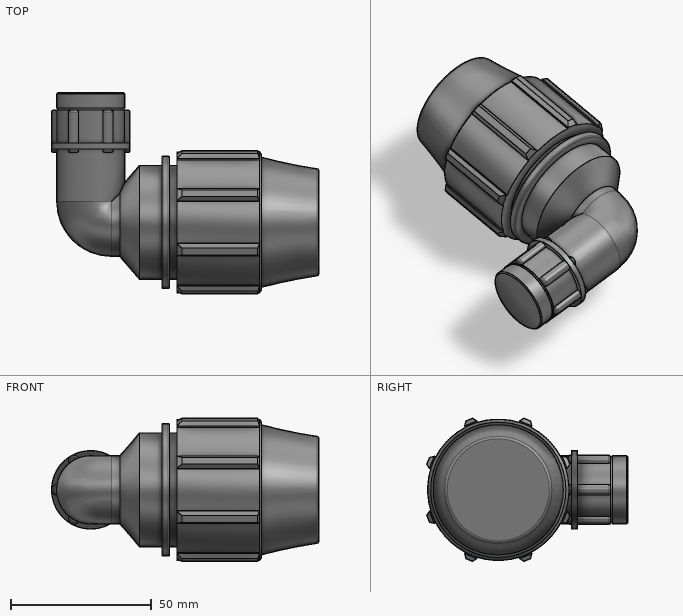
import cadquery as cq
import math


tube_radius = 24.22 / 2
bend_radius = 7.4

cone_start_x = 10.3
cone_end_x = 17.3
body_radius = 40.5 / 2
flange_start_x = 25.2
flange_width = 2.75
flange_radius = 46.98 / 2
flange_edge_fillet = 0.45
nut_start_x = 30.6
nut_shoulder_x = 59.9
nut_shoulder_width = 0.7
nut_radius = 25.08
nut_shoulder_radius = 24.0
end_x = 81.0
tail_start_radius = 23.1
tail_end_radius = 18.9
tail_sag = 0.3
tail_edge_fillet = 0.9

nut_rib_count = 8
nut_rib_root_radius = 24.0
nut_rib_base_radius = 25.5
nut_rib_top_radius = 26.97
nut_rib_base_width = 4.7
nut_rib_top_width = 2.6
nut_rib_front_slope = 1.7
nut_rib_back_slope = 0.65

branch_end_y = 46.0
branch_edge_chamfer = 0.4
groove_start_y = 39.8
groove_width = 0.7
groove_depth = 0.25
collar_start_y = 26.05
collar_width = 2.05
collar_radius = 27.85 / 2

branch_rib_count = 6
branch_rib_start_y = 24.8
branch_rib_radius = 1.9
branch_rib_reach = 13.9
branch_rib_fillet = 0.65


def cylinder_x(radius, start, length):
    return cq.Workplane("YZ").workplane(offset=start).circle(radius).extrude(length)


def cylinder_y(radius, start, length):
    return cq.Workplane("XZ").workplane(offset=-start).circle(radius).extrude(-length)


def make_bend():
    """Quarter spindle torus: the part of the tube section outside the bend axis, swept 90 degrees."""
    half_chord = math.sqrt(tube_radius**2 - bend_radius**2)
    return (
        cq.Workplane("XZ", origin=(0, bend_radius, 0))
        .moveTo(bend_radius, half_chord)
        .threePointArc((-tube_radius, 0), (bend_radius, -half_chord))
        .close()
        .revolve(90, (bend_radius, 0, 0), (bend_radius, 1, 0))
    )


def make_body():
    """Turned body: neck, cone, cylinder, nut and bowed tail."""
    tail_start_x = nut_shoulder_x + nut_shoulder_width
    tail_middle = (
        (tail_start_x + end_x) / 2,
        (tail_start_radius + tail_end_radius) / 2 - tail_sag,
    )
    profile = (
        cq.Workplane("XY")
        .moveTo(bend_radius, 0)
        .lineTo(bend_radius, tube_radius)
        .lineTo(cone_start_x, tube_radius)
        .lineTo(cone_end_x, body_radius)
        .lineTo(nut_start_x, body_radius)
        .lineTo(nut_start_x, nut_radius)
        .lineTo(nut_shoulder_x, nut_radius)
        .lineTo(tail_start_x, nut_shoulder_radius)
        .lineTo(tail_start_x, tail_start_radius)
        .threePointArc(tail_middle, (end_x, tail_end_radius))
        .lineTo(end_x, 0)
        .close()
    )
    body = profile.revolve(360, (0, 0, 0), (1, 0, 0))
    return body.faces(">X").edges().fillet(tail_edge_fillet)


def make_flange():
    flange = cylinder_x(flange_radius, flange_start_x, flange_width)
    return flange.edges().fillet(flange_edge_fillet)


def make_nut_ribs():
    """Ribs with an upright foot and sloped flanks and ends, the first one half a pitch away from +Y."""
    length = nut_shoulder_x - nut_start_x
    side_slope = (nut_rib_base_width - nut_rib_top_width) / 2
    wedge = cq.Solid.makeWedge(
        length,
        nut_rib_top_radius - nut_rib_base_radius,
        nut_rib_base_width,
        nut_rib_front_slope,
        side_slope,
        length - nut_rib_back_slope,
        nut_rib_base_width - side_slope,
    )
    foot = cq.Solid.makeBox(length, nut_rib_base_radius - nut_rib_root_radius, nut_rib_base_width)
    crest = cq.Workplane(wedge).translate((0, nut_rib_base_radius - nut_rib_root_radius, 0))
    rib = crest.union(cq.Workplane(foot))
    rib = rib.translate((nut_start_x, nut_rib_root_radius, -nut_rib_base_width / 2))
    pitch = 360 / nut_rib_count
    ribs = cq.Workplane()
    for index in range(nut_rib_count):
        ribs = ribs.add(rib.rotate((0, 0, 0), (1, 0, 0), (index + 0.5) * pitch))
    return ribs


def make_branch():
    branch = cylinder_y(tube_radius, bend_radius, branch_end_y - bend_radius)
    branch = branch.faces(">Y").edges().chamfer(branch_edge_chamfer)
    groove = cylinder_y(tube_radius + groove_depth, groove_start_y, groove_width).cut(
        cylinder_y(tube_radius - groove_depth, groove_start_y, groove_width)
    )
    collar = cylinder_y(collar_radius, collar_start_y, collar_width)
    return branch.cut(groove).union(collar)


def make_branch_ribs():
    """Round ribs with rounded ends, the first one on the +X side."""
    length = groove_start_y - branch_rib_start_y
    rib = (
        cylinder_y(branch_rib_radius, branch_rib_start_y, length)
        .edges("%CIRCLE")
        .fillet(branch_rib_fillet)
        .translate((branch_rib_reach - branch_rib_radius, 0, 0))
    )
    ribs = cq.Workplane()
    for index in range(branch_rib_count):
        ribs = ribs.add(rib.rotate((0, 0, 0), (0, 1, 0), index * 360 / branch_rib_count))
    return ribs


result = make_bend().union(make_body()).union(make_branch()).union(make_flange())
for rib in make_nut_ribs().vals() + make_branch_ribs().vals():
    result = result.union(cq.Workplane(rib))